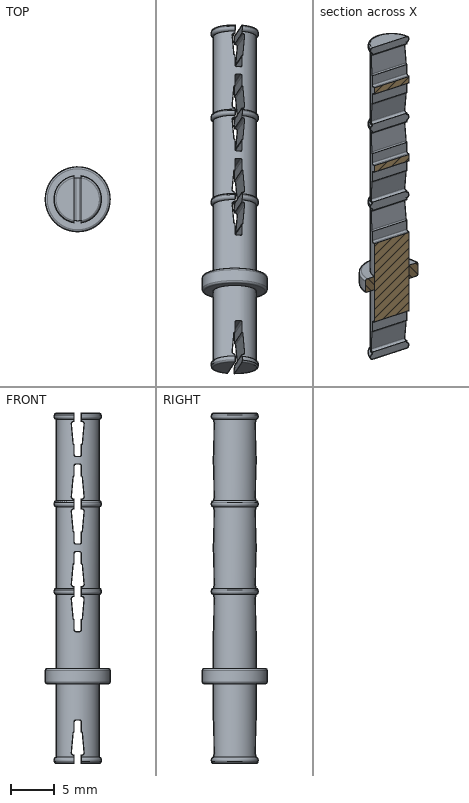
import cadquery as cq
import math

pin_length = 40.2
shaft_diameter = 4.95

bead_diameter = 5.45
bead_height = 0.72
bead_flat_diameter = 5.0
bead_rim_diameter = 5.4
bead_rim_drop = 0.2
bead_pitch = 10.05
upper_bead_count = 3

collar_diameter = 7.5
collar_bottom = 9.15
collar_height = 1.75
collar_round = 0.25

slot_inset = 0.382
neck_half_width = 0.4
wide_half_width = 0.72
taper_half_width = 0.52
neck_reach = 0.55
wide_reach = 0.8
taper_reach = 3.05
shoulder_reach = 3.2
slot_reach = 4.6
slot_end_round = 0.2

shaft_radius = shaft_diameter / 2
cut_depth = bead_diameter
bead_inset = bead_height / 2
upper_offsets = [-i * bead_pitch for i in range(upper_bead_count)]


def make_bead(level, direction):
    """Bead centred on a height, with its small round on the upper (1) or lower (-1) rim."""
    round_end = level + direction * bead_height / 2
    plain_end = level - direction * bead_height / 2
    rim = round_end - direction * bead_rim_drop
    return (
        cq.Workplane("XZ")
        .moveTo(0, round_end)
        .lineTo(bead_flat_diameter / 2, round_end)
        .tangentArcPoint((bead_rim_diameter / 2, rim), relative=False)
        .threePointArc((bead_diameter / 2, level), (shaft_radius, plain_end))
        .lineTo(0, plain_end)
        .close()
        .revolve()
    )


def make_half_slot(level, direction):
    """Cutter through Y that runs from the middle of a slot upward (1) or downward (-1).

    Its neck also reaches back through the whole bead, which opens the slots at the pin's ends.
    """

    def corner_arc_middle(start, end):
        """Middle of a quarter round that starts along the width and ends along the height."""
        share = math.sqrt(0.5)
        return start[0] + (end[0] - start[0]) * share, start[1] + (end[1] - start[1]) * (1 - share)

    def place(half_width, reach):
        return half_width, level + direction * reach

    neck = place(neck_half_width, neck_reach)
    wide = place(wide_half_width, wide_reach)
    taper = place(taper_half_width, taper_reach)
    shoulder = place(neck_half_width, shoulder_reach)
    end_side = place(neck_half_width, slot_reach - slot_end_round)
    end_floor = place(neck_half_width - slot_end_round, slot_reach)
    return (
        cq.Workplane("XZ")
        .moveTo(*place(0, -bead_height))
        .lineTo(*place(neck_half_width, -bead_height))
        .lineTo(*neck)
        .threePointArc(corner_arc_middle(neck, wide), wide)
        .lineTo(*taper)
        .threePointArc(corner_arc_middle(shoulder, taper), shoulder)
        .lineTo(*end_side)
        .threePointArc(corner_arc_middle(end_floor, end_side), end_floor)
        .lineTo(*place(0, slot_reach))
        .mirrorY()
        .extrude(cut_depth, both=True)
    )


def make_pin():
    """Round shaft with snap beads, split by a spring slot at every bead."""
    bottom_slot_z = slot_inset
    top_slot_z = pin_length - slot_inset
    body = cq.Workplane("XY").circle(shaft_radius).extrude(pin_length)
    body = body.union(make_bead(bead_inset, -1))
    for offset in upper_offsets:
        body = body.union(make_bead(pin_length - bead_inset + offset, 1))
    for offset in upper_offsets:
        body = body.cut(make_half_slot(top_slot_z + offset, -1))
    for offset in upper_offsets[1:]:
        body = body.cut(make_half_slot(top_slot_z + offset, 1))
    body = body.cut(make_half_slot(bottom_slot_z, 1))
    return body


def make_collar():
    """Stop ring that fits closely around the shaft, with rounded outer rims."""
    disc = (
        cq.Workplane("XY", origin=(0, 0, collar_bottom))
        .circle(collar_diameter / 2)
        .extrude(collar_height)
        .edges()
        .fillet(collar_round)
    )
    bore = cq.Workplane("XY").circle(shaft_radius).extrude(pin_length)
    return disc.cut(bore)


pin = make_pin()
collar = make_collar()
result = cq.Compound.makeCompound([pin.val(), collar.val()])